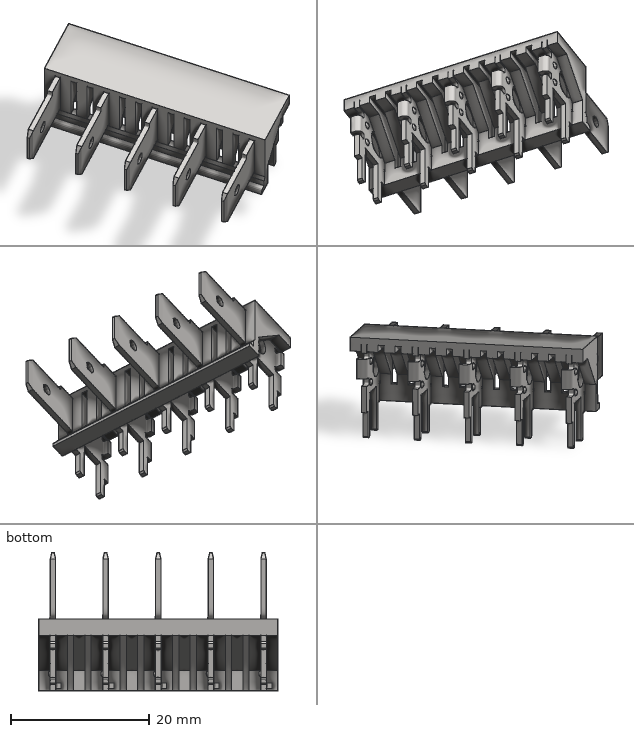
import cadquery as cq

length = 34.6
depth = 9.05
height = 10.97
back_height = 2.05
wall = 1.05
slope_bottom = 4.0
slope_run = 6.1
roof_bottom = height - back_height

rail_top = 2.53
rail_step = 0.35
rail_chamfer_height = 0.55
foot_reach = 1.35
foot_height = 0.9
foot_radius = 0.45

terminal_count = 5
pitch = 7.6
slots_per_pitch = 3
slot_count = (terminal_count - 1) * slots_per_pitch + 1
slot_pitch = pitch / slots_per_pitch
slot_width = 0.9
slot_top = 9.95

plate = 0.8
plate_bottom = -0.1
tab_reach = 10.95
tab_width = 6.3
tab_center = 6.02
tab_bottom = tab_center - tab_width / 2
tab_top = tab_center + tab_width / 2
tab_shoulder = 2.9
shoulder_fillet = 0.2
tip_length = 0.9
tip_inset = 0.8
tip_bevel = 0.2
tab_hole = 1.65
tab_hole_y = -6.47
web_hole = 4.0
web_hole_y = 3.1

pin_bottom = -4.05
front_pin = (1.95, 3.08)
back_pin = (7.13, 8.13)
fork_top = 2.5
pin_chamfer = 0.25

notch_depth = 1.52
notch_height = 1.0
notch_top = 8.7
notch_bottom = 3.77
notch_fillet = 0.28
stop_back = 8.72
stop_length = 1.6
bend_inner_radius = 0.07

dome_y = 6.57
dome_centers_z = (3.95, 7.05)
dome_radius = 0.52
dome_height = 0.28
barb_front = 2.0
barb_back = 0.07
barb_height = 0.25
barb_tip_width = 3.08
barb_root_width = 2.75


def slot_x(index):
    """X of the middle of a slot, counted from the left end."""
    return length / 2 + (index - (slot_count - 1) / 2) * slot_pitch


def side_profile(points, thickness, x_start):
    """Closed (Y, Z) outline extruded along +X."""
    return cq.Workplane("YZ", origin=(x_start, 0, 0)).polyline(points).close().extrude(thickness)


def box_between(corner, opposite):
    """Axis-aligned box given by two opposite corners."""
    size = [high - low for low, high in zip(corner, opposite)]
    return cq.Workplane("XY").box(*size, centered=False).translate(tuple(corner))


def make_housing():
    outline = (
        cq.Workplane("YZ")
        .moveTo(wall, 0)
        .lineTo(wall, slope_bottom)
        .lineTo(slope_run, roof_bottom)
        .lineTo(depth, roof_bottom)
        .lineTo(depth, height)
        .lineTo(0, height)
        .lineTo(0, rail_top)
        .lineTo(-rail_step, rail_top - rail_chamfer_height)
        .lineTo(-rail_step, foot_height)
        .lineTo(foot_radius - foot_reach, foot_height)
        .radiusArc((-foot_reach, foot_height - foot_radius), -foot_radius)
        .lineTo(-foot_reach, 0)
        .close()
    )
    housing = outline.extrude(length)
    for index in range(slot_count):
        left = slot_x(index) - slot_width / 2
        slot = box_between((left, 0, rail_top), (left + slot_width, depth, slot_top))
        housing = housing.cut(slot)
    return housing


def make_plate():
    """Flat sheet with the tab, the two pins and the holes; its left side is at X = 0."""
    tip_start = -(tab_reach - tip_length)
    sheet = side_profile(
        [
            (wall, plate_bottom),
            (wall, tab_bottom),
            (tip_start, tab_bottom),
            (-tab_reach, tab_bottom + tip_inset),
            (-tab_reach, tab_top - tip_inset),
            (tip_start, tab_top),
            (-tab_shoulder, tab_top),
            (-tab_shoulder, slot_top),
            (depth, slot_top),
            (depth, plate_bottom),
        ],
        plate,
        0,
    )
    shoulder = cq.selectors.NearestToPointSelector((plate / 2, -tab_shoulder, tab_top))
    sheet = sheet.edges(shoulder).fillet(shoulder_fillet)

    fork = box_between((0, front_pin[1], plate_bottom), (plate, back_pin[0], fork_top))
    sheet = sheet.cut(fork)
    for pin_front, pin_back in (front_pin, back_pin):
        pin = box_between((0, pin_front, pin_bottom), (plate, pin_back, plate_bottom))
        sheet = sheet.union(pin.faces("<Z").edges("|X").chamfer(pin_chamfer))

    for hole_y, diameter in ((tab_hole_y, tab_hole), (web_hole_y, web_hole)):
        hole = cq.Workplane("YZ").center(hole_y, tab_center).circle(diameter / 2).extrude(plate)
        sheet = sheet.cut(hole)
    return sheet.cut(make_tip_bevels())


def make_tip_bevels():
    """Wedges that thin both sides of the tab toward its tip."""
    tip_start = -(tab_reach - tip_length)
    left = [(0, tip_start), (0, -tab_reach), (tip_bevel, -tab_reach)]
    right = [(plate - x, y) for x, y in left]
    wedges = cq.Workplane("XY", origin=(0, 0, tab_bottom)).polyline(left).close().extrude(tab_width)
    return wedges.union(
        cq.Workplane("XY", origin=(0, 0, tab_bottom)).polyline(right).close().extrude(tab_width)
    )


def add_bent_stop(terminal):
    """Notch the back edge and fold the tongue between the notches toward +X."""
    notch_front = depth - notch_depth
    for low in (notch_bottom, notch_top - notch_height):
        notch = box_between((0, notch_front, low), (plate, depth, low + notch_height))
        terminal = terminal.cut(notch.faces("<Y").edges("|X").fillet(notch_fillet))

    low = notch_bottom + notch_height
    high = notch_top - notch_height
    outer_radius = plate + bend_inner_radius
    stop_front = stop_back - outer_radius
    terminal = terminal.cut(box_between((0, stop_front, low), (plate, depth, high)))
    stop = (
        cq.Workplane("XY", origin=(0, 0, low))
        .moveTo(0, stop_front)
        .radiusArc((outer_radius, stop_back), outer_radius)
        .lineTo(stop_length, stop_back)
        .lineTo(stop_length, stop_back - plate)
        .lineTo(outer_radius, stop_back - plate)
        .radiusArc((plate, stop_front), -bend_inner_radius)
        .close()
        .extrude(high - low)
    )
    return terminal.union(stop)


def add_domes(terminal):
    """Shallow round bumps on the left side of the plate."""
    sphere_radius = (dome_radius**2 + dome_height**2) / (2 * dome_height)
    for z in dome_centers_z:
        center = (sphere_radius - dome_height, dome_y, z)
        ball = cq.Workplane("YZ").sphere(sphere_radius).translate(center)
        cap = ball.intersect(
            box_between(
                (-dome_height, dome_y - dome_radius, z - dome_radius),
                (0, dome_y + dome_radius, z + dome_radius),
            )
        )
        terminal = terminal.union(cap)
    return terminal


def add_barb(terminal):
    """Locking barb that rises from the plate toward the housing and is wider at its low end."""
    wedge = (
        cq.Workplane("XY", origin=(0, 0, tab_center - barb_tip_width / 2))
        .polyline([(0, -barb_front), (-barb_height, -barb_back), (0, -barb_back)])
        .close()
        .extrude(barb_tip_width)
    )
    tip_half = barb_tip_width / 2
    root_half = barb_root_width / 2
    taper = side_profile(
        [
            (-barb_front, tab_center - tip_half),
            (-barb_back, tab_center - root_half),
            (-barb_back, tab_center + root_half),
            (-barb_front, tab_center + tip_half),
        ],
        barb_height,
        -barb_height,
    )
    return terminal.union(wedge.intersect(taper))


terminal = add_barb(add_domes(add_bent_stop(make_plate())))
result = make_housing()
for index in range(0, slot_count, slots_per_pitch):
    result = result.union(terminal.translate((slot_x(index) - plate / 2, 0, 0)))